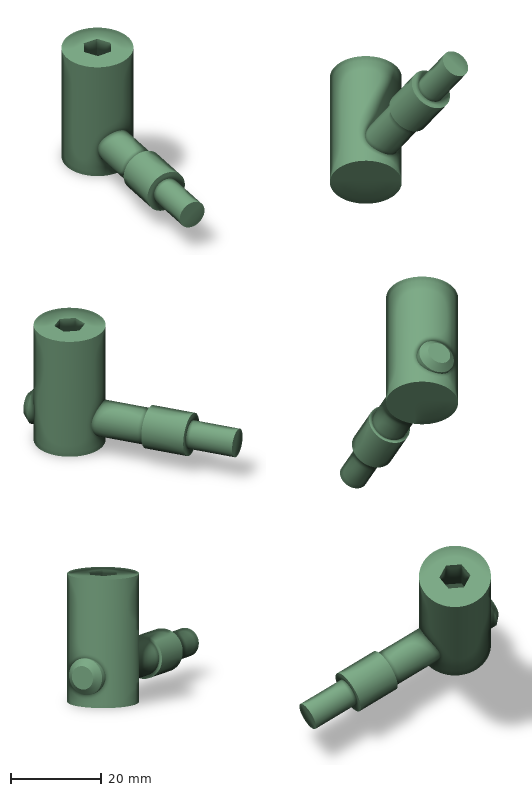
import cadquery as cq
import math

barrel_diameter = 16.0
barrel_height = 29.0

socket_sides = 6
socket_across_flats = 6.0
socket_depth = 8.0

pin_axis_height = 7.0
pin_start = -10.0
pin_diameter = 8.3
pin_chamfer = 1.5
collar_start = 19.0
collar_length = 10.0
collar_diameter = 9.8
tip_length = 11.0
tip_diameter = 6.47


def rod_along_x(start, length, diameter):
    """Round rod on the pin axis, running in +X from the given start."""
    return (
        cq.Workplane("YZ", origin=(start, 0, pin_axis_height))
        .circle(diameter / 2)
        .extrude(length)
    )


def make_barrel():
    return cq.Workplane("XY").circle(barrel_diameter / 2).extrude(barrel_height)


def make_socket():
    quarter_turn = 90
    across_corners = socket_across_flats / math.cos(math.pi / socket_sides)
    return (
        cq.Workplane("XY", origin=(0, 0, barrel_height))
        .transformed(rotate=(0, 0, quarter_turn))
        .polygon(socket_sides, across_corners)
        .extrude(-socket_depth)
    )


def make_pin():
    shank = rod_along_x(pin_start, collar_start - pin_start, pin_diameter)
    shank = shank.faces("<X").chamfer(pin_chamfer)
    collar = rod_along_x(collar_start, collar_length, collar_diameter)
    tip = rod_along_x(collar_start + collar_length, tip_length, tip_diameter)
    return shank.union(collar).union(tip)


result = make_barrel().union(make_pin()).cut(make_socket())